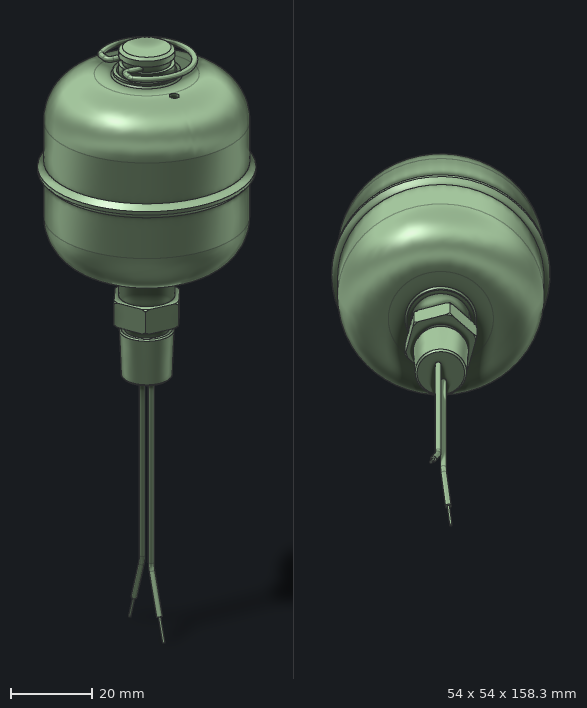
import cadquery as cq
import math

overall_height = 158.3
stem_top = 32.8

float_radius = 25.5
float_half_height = 25.5
float_corner_radius = 12.5
seam_diameter = 54.0
seam_radius = seam_diameter / 2
seam_half_thickness = 0.5
seam_half_base = 1.9
collar_radius = 8.4
collar_half_height = 26.6
collar_foot = 0.5
bore_radius = 7.5
vent_offset = 14.4
vent_radius = 1.19
vent_depth = 1.6

stem_radius = 7.0
stem_chamfer_width = 1.0
stem_chamfer_height = 0.6
groove_radius = 6.0
groove_center = 29.6
groove_height = 1.9
hex_top = -34.5
hex_bottom = -41.2
hex_across_flats = 16.0
hex_corner_radius = hex_across_flats / math.sqrt(3)
hex_turn = 30
hex_corner_bevel = 0.5
neck_radius = 6.0
neck_taper_top = -41.8
neck_taper_bottom = -43.7
neck_small_radius = 5.5
thread_top = -44.0
thread_bottom = -56.5
thread_top_radius = 6.8
thread_bottom_radius = 6.3
thread_chamfer = 0.5

clip_wire_radius = 0.75
clip_center = 29.5
clip_ring_radius = 11.9
clip_leg_y = -8.7
clip_hook_x = 4.1
clip_bend_radius = 1.3

lead_offset = 2.4
insulation_radius = 0.75
core_radius = 0.3
lead_bend_top = -106.2
lead_bend_radius = 6.3
lead_bend_angle = math.radians(20)
insulation_tail = 11.5
lead_bottom = stem_top - overall_height


def make_float():
    """Round-cornered float with a welded seam, end collars, a through bore and a small vent hole."""
    flat_radius = float_radius - float_corner_radius
    side_top = float_half_height - float_corner_radius
    arc_inset = float_corner_radius * (1 - math.sqrt(0.5))
    arc_radius = float_radius - arc_inset
    arc_height = float_half_height - arc_inset
    foot_radius = collar_radius + collar_foot
    foot_height = float_half_height + collar_foot
    profile = (
        cq.Workplane("XZ")
        .moveTo(bore_radius, -collar_half_height)
        .lineTo(collar_radius, -collar_half_height)
        .lineTo(collar_radius, -foot_height)
        .lineTo(foot_radius, -float_half_height)
        .lineTo(flat_radius, -float_half_height)
        .threePointArc((arc_radius, -arc_height), (float_radius, -side_top))
        .lineTo(float_radius, -seam_half_base)
        .lineTo(seam_radius, -seam_half_thickness)
        .lineTo(seam_radius, seam_half_thickness)
        .lineTo(float_radius, seam_half_base)
        .lineTo(float_radius, side_top)
        .threePointArc((arc_radius, arc_height), (flat_radius, float_half_height))
        .lineTo(foot_radius, float_half_height)
        .lineTo(collar_radius, foot_height)
        .lineTo(collar_radius, collar_half_height)
        .lineTo(bore_radius, collar_half_height)
        .close()
    )
    vent = (
        cq.Workplane("XY", origin=(vent_offset, 0, float_half_height - vent_depth))
        .circle(vent_radius)
        .extrude(2 * vent_depth)
    )
    return profile.revolve().cut(vent)


def make_hex():
    """Hexagon with corners toward +Y and -Y, its corners bevelled at both ends."""
    height = hex_top - hex_bottom
    prism = (
        cq.Workplane("XY", origin=(0, 0, hex_bottom))
        .polygon(6, 2 * hex_corner_radius)
        .extrude(height)
        .rotate((0, 0, 0), (0, 0, 1), hex_turn)
    )
    bevel = (
        cq.Workplane("XY", origin=(0, 0, hex_bottom))
        .circle(hex_corner_radius)
        .extrude(height)
        .edges()
        .chamfer(hex_corner_bevel)
    )
    return prism.intersect(bevel)


def make_stem():
    """Stem with a clip groove near the top, a hexagon, a relieved neck and a tapered thread."""
    groove_top = groove_center + groove_height / 2
    groove_bottom = groove_center - groove_height / 2
    outline = [
        (0, stem_top),
        (stem_radius - stem_chamfer_width, stem_top),
        (stem_radius, stem_top - stem_chamfer_height),
        (stem_radius, groove_top),
        (groove_radius, groove_top),
        (groove_radius, groove_bottom),
        (stem_radius, groove_bottom),
        (stem_radius, hex_top),
        (neck_radius, hex_top),
        (neck_radius, neck_taper_top),
        (neck_small_radius, neck_taper_bottom),
        (thread_top_radius - thread_chamfer, neck_taper_bottom),
        (thread_top_radius, thread_top),
        (thread_bottom_radius, thread_bottom + thread_chamfer),
        (thread_bottom_radius - thread_chamfer, thread_bottom),
        (0, thread_bottom),
    ]
    shaft = cq.Workplane("XZ").polyline(outline).close().revolve()
    return shaft.union(make_hex())


def make_clip():
    """Open wire ring whose ends turn inward along two legs and hook onto the groove floor."""
    bend_y = clip_leg_y + clip_bend_radius
    corner_x = math.sqrt((clip_ring_radius - clip_bend_radius) ** 2 - bend_y**2)
    corner_angle = math.atan2(bend_y, corner_x)
    corner_middle_angle = (corner_angle - math.pi / 2) / 2
    corner_middle = (
        corner_x + clip_bend_radius * math.cos(corner_middle_angle),
        bend_y + clip_bend_radius * math.sin(corner_middle_angle),
    )
    ring_end = (clip_ring_radius * math.cos(corner_angle), clip_ring_radius * math.sin(corner_angle))
    hook_bend_x = clip_hook_x + clip_bend_radius
    hook_inset = clip_bend_radius * (1 - math.sqrt(0.5))
    hook_middle = (clip_hook_x + hook_inset, clip_leg_y + hook_inset)
    path = (
        cq.Workplane("XY", origin=(0, 0, clip_center))
        .moveTo(-clip_hook_x, 0)
        .lineTo(-clip_hook_x, bend_y)
        .threePointArc((-hook_middle[0], hook_middle[1]), (-hook_bend_x, clip_leg_y))
        .lineTo(-corner_x, clip_leg_y)
        .threePointArc((-corner_middle[0], corner_middle[1]), (-ring_end[0], ring_end[1]))
        .threePointArc((0, clip_ring_radius), ring_end)
        .threePointArc(corner_middle, (corner_x, clip_leg_y))
        .lineTo(hook_bend_x, clip_leg_y)
        .threePointArc(hook_middle, (clip_hook_x, bend_y))
        .lineTo(clip_hook_x, 0)
    )
    wire = (
        cq.Workplane("XZ", origin=(-clip_hook_x, 0, clip_center))
        .circle(clip_wire_radius)
        .sweep(path)
    )
    groove_floor = (
        cq.Workplane("XY", origin=(0, 0, groove_center - groove_height / 2))
        .circle(groove_radius)
        .extrude(groove_height)
    )
    return wire.cut(groove_floor)


def lead_direction(side, angle):
    """Unit vector pointing down a lead that leans outward by the given angle."""
    return cq.Vector(side * math.sin(angle), 0, -math.cos(angle))


def bend_point(side, angle):
    """Point on the centre line of a lead's bend, after turning by the given angle."""
    x = lead_offset + lead_bend_radius * (1 - math.cos(angle))
    return cq.Vector(side * x, 0, lead_bend_top - lead_bend_radius * math.sin(angle))


def insulation_end(side):
    """Centre of the cut end of a lead's insulation."""
    return bend_point(side, lead_bend_angle) + lead_direction(side, lead_bend_angle) * insulation_tail


def make_insulation(side):
    """Insulated lead: straight down from the stem, then bent outward."""
    start = cq.Vector(side * lead_offset, 0, thread_bottom)
    bend_start = bend_point(side, 0)
    bend_end = bend_point(side, lead_bend_angle)
    path = cq.Wire.assembleEdges(
        [
            cq.Edge.makeLine(start, bend_start),
            cq.Edge.makeThreePointArc(bend_start, bend_point(side, lead_bend_angle / 2), bend_end),
            cq.Edge.makeLine(bend_end, insulation_end(side)),
        ]
    )
    return cq.Workplane("XY", origin=start.toTuple()).circle(insulation_radius).sweep(path)


def make_core(side):
    """Bare conductor that continues from the end of the insulation down to the lowest point."""
    start = insulation_end(side)
    drop = start.z - lead_bottom - core_radius * math.sin(lead_bend_angle)
    length = drop / math.cos(lead_bend_angle)
    return cq.Solid.makeCylinder(core_radius, length, start, lead_direction(side, lead_bend_angle))


float_body = make_float()
stem = make_stem()
clip = make_clip()
insulations = []
cores = []
for side in (-1, 1):
    insulations.append(make_insulation(side).val())
    cores.append(make_core(side))

result = cq.Compound.makeCompound([float_body.val(), stem.val(), clip.val(), *insulations, *cores])